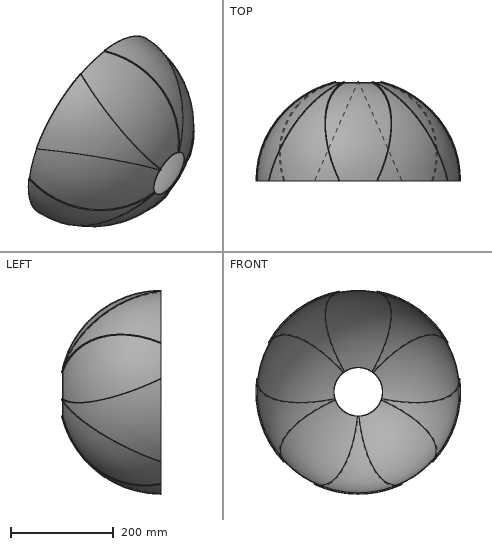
import cadquery as cq
import math

panel_radius = 199.5
panel_height = 2.0
shell_thickness = 0.8
hole_radius = 47.0
panel_count = 5
panel_pitch = 360.0 / panel_count
first_panel_angle = -90.0

tip_half_angle = 0.5
rim_half_angle = 25.3
middle_polar_angle = 55.0
middle_half_angle = 12.5

shell_radius = panel_radius - panel_height
inner_radius = shell_radius - shell_thickness
tool_size = 3 * panel_radius


def turn(shape, angle):
    """Turn a shape about the dome axis, from +X towards +Z."""
    return shape.rotate((0, 0, 0), (0, 1, 0), -angle)


def dome_layer(outer, inner):
    """Hemispherical layer with a crown hole, revolved about +Y."""
    diagonal = math.sqrt(0.5)
    outer_top = math.sqrt(outer**2 - hole_radius**2)
    inner_top = math.sqrt(inner**2 - hole_radius**2)
    return (
        cq.Workplane("XY")
        .moveTo(inner, 0)
        .lineTo(outer, 0)
        .threePointArc((outer * diagonal, outer * diagonal), (hole_radius, outer_top))
        .lineTo(hole_radius, inner_top)
        .threePointArc((inner * diagonal, inner * diagonal), (inner, 0))
        .close()
        .revolve(360, (0, 0), (0, 1))
    )


def sphere_point(polar_angle, half_angle):
    """Point on the panel sphere; the panel centre line lies over +X."""
    polar = math.radians(polar_angle)
    around = math.radians(half_angle)
    return cq.Vector(
        panel_radius * math.sin(polar) * math.cos(around),
        panel_radius * math.cos(polar),
        panel_radius * math.sin(polar) * math.sin(around),
    )


def side_cutter():
    """Block filling everything beyond the +Z side of the +X panel."""
    crown_polar_angle = math.degrees(math.asin(hole_radius / panel_radius))
    tip = sphere_point(crown_polar_angle, tip_half_angle)
    middle = sphere_point(middle_polar_angle, middle_half_angle)
    corner = sphere_point(90, rim_half_angle)
    along = corner - tip
    outward = along.cross(middle - tip)
    if outward.z < 0:
        outward = -outward
    plane = cq.Plane(origin=tip, xDir=along, normal=outward)
    return cq.Workplane(plane).rect(2 * tool_size, 2 * tool_size).extrude(tool_size)


def gap_cutter():
    """Space above the shell between the panel over +X and the next one."""
    beyond_first = side_cutter()
    before_second = turn(beyond_first.mirror("XY"), panel_pitch)
    core = cq.Workplane("XY").sphere(shell_radius)
    pitch = math.radians(panel_pitch)
    sector = (
        cq.Workplane("XZ")
        .polyline([
            (0, 0),
            (tool_size, 0),
            (tool_size, tool_size),
            (tool_size * math.cos(pitch), tool_size * math.sin(pitch)),
        ])
        .close()
        .extrude(tool_size, both=True)
    )
    return sector.intersect(beyond_first).intersect(before_second).cut(core)


result = turn(dome_layer(panel_radius, inner_radius), first_panel_angle)
gap = gap_cutter()
for index in range(panel_count):
    result = result.cut(turn(gap, first_panel_angle + index * panel_pitch))